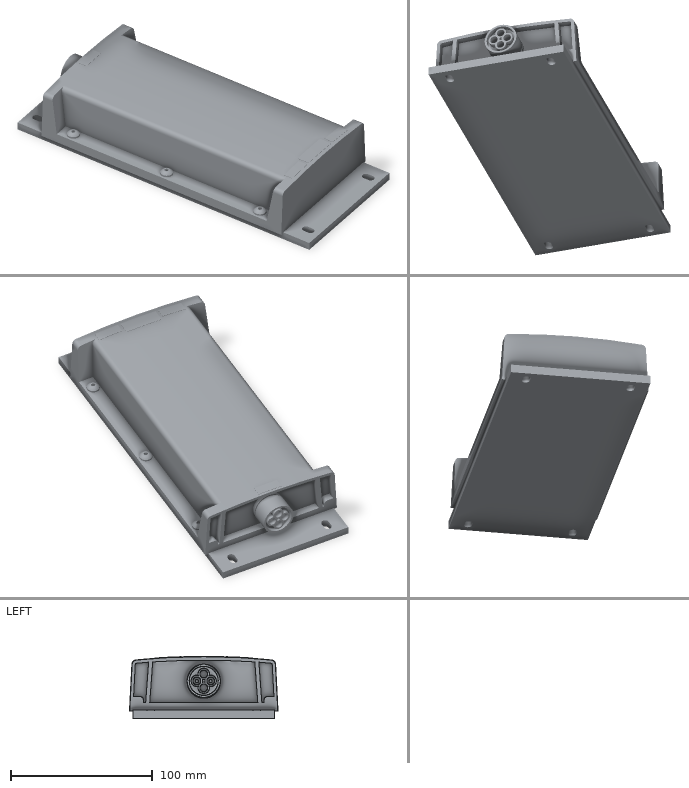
import cadquery as cq
import math

PLATE_LENGTH = 250.0
PLATE_WIDTH = 100.0
PLATE_THICKNESS = 6.0
SLOT_LENGTH = 9.5
SLOT_WIDTH = 5.5
SLOT_X = 115.5
SLOT_Y = 37.5

HOUSING_LENGTH = 205.5
HOUSING_WIDTH = 105.0
HOUSING_BOTTOM = 5.2
HOUSING_DRAFT = 3.0
CROWN_TOP = 43.8
CROWN_RADIUS = 500.0
EDGE_RADIUS = 3.2

CORE_WIDTH = 82.0
CORE_DRAFT = 4.2
CORE_EDGE_RADIUS = 3.8
FLOOR_Z = 12.0
NOTCH_FLOOR_LENGTH = 180.0
NOTCH_END_DRAFT = 9.5

POCKET_DEPTH = 5.5
POCKET_FLOOR_Z = 11.2
WALL = 2.38
RIB = 2.88
BOSS_Y = 42.5
BOSS_TOP = 15.8
BOSS_RADIUS = 3.0

SCREW_PITCH = 80.0
SCREW_Y = 46.0
HEAD_DIAMETER = 9.2
HEAD_RIM = 1.2
HEAD_HEIGHT = 3.0
HEAD_TOP_DIAMETER = 4.5
HEX_ACROSS_CORNERS = 3.2
HEX_DEPTH = 2.0

PAD_HEIGHT = 0.2
PAD_ROOT = 1.5
PAD_LENGTH = 7.0
PAD_WIDTH = 18.2
PAD_END_X = 99.8
SIDE_PAD_Y = 25.2
WIDE_PAD_LENGTH = 9.5
WIDE_PAD_WIDTH = 28.0
LEFT_PAD_X = -97.5

CONNECTOR_DIAMETER = 23.5
CONNECTOR_FACE_X = -114.5
CONNECTOR_Z = 26.8
CONNECTOR_TILT = 2.0
CONNECTOR_LENGTH = 22.5
GROOVE_DIAMETER = 22.0
GROOVE_START = 13.2
GROOVE_WIDTH = 1.0
RECESS_DIAMETER = 20.5
RECESS_DEPTH = 3.8
CONTACT_RADIUS = 4.88
BARREL_DIAMETER = 8.0
SOCKET_DIAMETER = 5.5
SOCKET_DEPTH = 7.5
PIN_DIAMETER = 2.2
PIN_LENGTH = 1.2

END_X = -HOUSING_LENGTH / 2
CROWN_CENTRE_Z = CROWN_TOP - CROWN_RADIUS


def crown_z(y, inset=0.0):
    """Height of the crown at y, on an arc set in by the given distance."""
    return CROWN_CENTRE_Z + math.sqrt((CROWN_RADIUS - inset) ** 2 - y ** 2)


def wall_y(base_y, base_z, draft, z):
    """Half width of a drafted wall at height z."""
    return base_y - (z - base_z) * math.tan(math.radians(draft))


def crowned_outline(start_x, base_y, base_z, draft, bottom, inset=0.0):
    """Symmetric YZ outline with drafted sides and an arched top."""
    low_y = wall_y(base_y, base_z, draft, bottom)
    high_y = wall_y(base_y, base_z, draft, crown_z(base_y, inset))
    high_y = wall_y(base_y, base_z, draft, crown_z(high_y, inset))
    high_z = crown_z(high_y, inset)
    return (
        cq.Workplane("YZ", origin=(start_x, 0, 0))
        .moveTo(-low_y, bottom)
        .lineTo(low_y, bottom)
        .lineTo(high_y, high_z)
        .threePointArc((0, crown_z(0, inset)), (-high_y, high_z))
        .close()
    )


def make_plate():
    plate = cq.Workplane("XY").box(PLATE_LENGTH, PLATE_WIDTH, PLATE_THICKNESS, centered=(True, True, False))
    slots = (
        cq.Workplane("XY")
        .rect(2 * SLOT_X, 2 * SLOT_Y, forConstruction=True)
        .vertices()
        .slot2D(SLOT_LENGTH, SLOT_WIDTH)
        .extrude(PLATE_THICKNESS)
    )
    return plate.cut(slots)


def housing_blank(inset=0.0):
    """Full-length housing, or the same shape with its sides and top set in."""
    base_y = HOUSING_WIDTH / 2 - inset
    outline = crowned_outline(END_X, base_y, HOUSING_BOTTOM, HOUSING_DRAFT, HOUSING_BOTTOM, inset)
    radius = EDGE_RADIUS - inset
    return outline.extrude(HOUSING_LENGTH).edges("|X and (not <Z)").fillet(radius)


def core_outline(inset=0.0, bottom=FLOOR_Z, crown_inset=0.0):
    return crowned_outline(END_X, CORE_WIDTH / 2 - inset, FLOOR_Z, CORE_DRAFT, bottom, crown_inset)


def make_core():
    return core_outline().extrude(HOUSING_LENGTH).edges("|X and (not <Z)").fillet(CORE_EDGE_RADIUS)


def make_notches():
    """Trapezoidal cut across the whole width, open at the top."""
    height = CROWN_TOP - FLOOR_Z
    low_x = NOTCH_FLOOR_LENGTH / 2
    high_x = low_x + height * math.tan(math.radians(NOTCH_END_DRAFT))
    profile = [(-low_x, FLOOR_Z), (low_x, FLOOR_Z), (high_x, CROWN_TOP), (-high_x, CROWN_TOP)]
    return cq.Workplane("XZ").polyline(profile).close().extrude(HOUSING_WIDTH / 2, both=True)


def make_end_pockets():
    """One pocket within the core and one outside each of its walls."""
    centre = core_outline(RIB, POCKET_FLOOR_Z, WALL).extrude(POCKET_DEPTH)
    above_floor = cq.Workplane("XY", origin=(END_X, 0, POCKET_FLOOR_Z)).box(
        2 * POCKET_DEPTH, HOUSING_WIDTH, CROWN_TOP, centered=(True, True, False)
    )
    sides = housing_blank(WALL).intersect(above_floor)
    sides = sides.cut(core_outline(bottom=HOUSING_BOTTOM).extrude(HOUSING_LENGTH))
    boss_width = HOUSING_WIDTH / 2 - BOSS_Y
    boss = (
        cq.Workplane("XY", origin=(END_X, BOSS_Y, 0))
        .box(HOUSING_LENGTH, boss_width, BOSS_TOP, centered=(False, False, False))
        .edges("|X and >Z and <Y")
        .fillet(BOSS_RADIUS)
    )
    sides = sides.cut(boss).cut(boss.mirror("XZ"))
    return centre.union(sides)


def make_pads():
    """Thin pads that follow the crown."""
    pad_x = PAD_END_X - PAD_LENGTH / 2
    wide_pad_x = PAD_END_X - WIDE_PAD_LENGTH / 2
    plan = (
        cq.Workplane("XY", origin=(0, 0, CROWN_TOP - PAD_ROOT))
        .pushPoints([(LEFT_PAD_X, 0), (pad_x, SIDE_PAD_Y), (pad_x, -SIDE_PAD_Y)])
        .rect(PAD_LENGTH, PAD_WIDTH)
        .extrude(2 * PAD_ROOT)
        .union(
            cq.Workplane("XY", origin=(wide_pad_x, 0, CROWN_TOP - PAD_ROOT))
            .rect(WIDE_PAD_LENGTH, WIDE_PAD_WIDTH)
            .extrude(2 * PAD_ROOT)
        )
    )
    return plan.intersect(core_outline(crown_inset=-PAD_HEIGHT).extrude(HOUSING_LENGTH))


def make_screw_head():
    """Button head with a hexagon socket, standing on Z = 0."""
    rim_radius = HEAD_DIAMETER / 2
    top_radius = HEAD_TOP_DIAMETER / 2
    rise = HEAD_HEIGHT - HEAD_RIM
    centre_z = (HEAD_HEIGHT + HEAD_RIM - (rim_radius ** 2 - top_radius ** 2) / rise) / 2
    dome_radius = math.hypot(top_radius, HEAD_HEIGHT - centre_z)
    middle_radius = (rim_radius + top_radius) / 2
    middle_z = centre_z + math.sqrt(dome_radius ** 2 - middle_radius ** 2)
    head = (
        cq.Workplane("XZ")
        .lineTo(rim_radius, 0)
        .lineTo(rim_radius, HEAD_RIM)
        .threePointArc((middle_radius, middle_z), (top_radius, HEAD_HEIGHT))
        .lineTo(0, HEAD_HEIGHT)
        .close()
        .revolve(360, (0, 0, 0), (0, 1, 0))
    )
    return head.faces(">Z").workplane().polygon(6, HEX_ACROSS_CORNERS).cutBlind(-HEX_DEPTH)


def make_connector():
    """Grooved plug with four sockets, two holding pins.

    It is built along +Z from its face at Z = 0, then laid along +X.
    """
    body = cq.Workplane("XY").circle(CONNECTOR_DIAMETER / 2).extrude(CONNECTOR_LENGTH)
    groove = (
        cq.Workplane("XY", origin=(0, 0, GROOVE_START))
        .circle(CONNECTOR_DIAMETER / 2)
        .circle(GROOVE_DIAMETER / 2)
        .extrude(GROOVE_WIDTH)
    )
    recess = cq.Workplane("XY").circle(RECESS_DIAMETER / 2).extrude(RECESS_DEPTH)
    contacts = cq.Workplane("XY").polarArray(CONTACT_RADIUS, 0, 360, 4)
    barrels = contacts.circle(BARREL_DIAMETER / 2).extrude(RECESS_DEPTH)
    sockets = contacts.circle(SOCKET_DIAMETER / 2).extrude(SOCKET_DEPTH)
    pins = (
        cq.Workplane("XY", origin=(0, 0, SOCKET_DEPTH - PIN_LENGTH))
        .polarArray(CONTACT_RADIUS, 90, 360, 2)
        .circle(PIN_DIAMETER / 2)
        .extrude(PIN_LENGTH)
    )
    plug = body.cut(groove).cut(recess).union(barrels).cut(sockets).union(pins)
    return (
        plug.rotate((0, 0, 0), (0, 1, 0), 90 + CONNECTOR_TILT)
        .translate((CONNECTOR_FACE_X, 0, CONNECTOR_Z))
    )


housing = housing_blank().cut(make_notches()).union(make_core())
housing = housing.cut(make_end_pockets()).union(make_pads())

result = make_plate().union(housing).union(make_connector())
screw_head = make_screw_head()
for x in (-SCREW_PITCH, 0, SCREW_PITCH):
    for y in (-SCREW_Y, SCREW_Y):
        result = result.union(screw_head.translate((x, y, FLOOR_Z)))